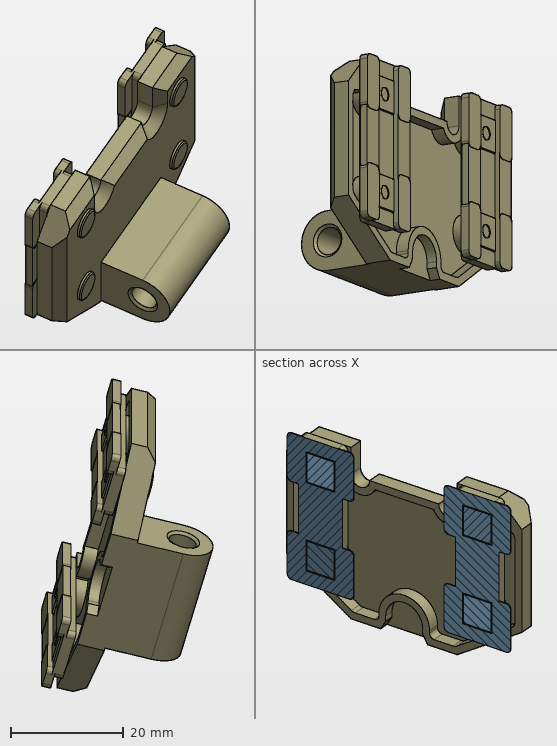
import cadquery as cq
import math


PLATE_WIDTH = 51.0
PLATE_HEIGHT = 35.0
PLATE_THICK = 5.0
HALF_WIDTH = PLATE_WIDTH / 2
TOP_CORNER = 5.0
FLANK_HEIGHT = 9.0
BOTTOM_HALF = 11.5
BACK_BEVEL = 2.0

SHOULDER_IN = 11.5
NOTCH_RADIUS = 2.0
NOTCH_Y = SHOULDER_IN - NOTCH_RADIUS
SADDLE_Z = 29.5

RAIL_Y = 17.0
RAIL_LENGTH = 30.0
RAIL_Z = PLATE_HEIGHT - RAIL_LENGTH / 2
SCREW_PITCH = 18.0
SCREW_LOW = RAIL_Z - SCREW_PITCH / 2
SCREW_HIGH = RAIL_Z + SCREW_PITCH / 2

RIM = 1.5
POCKET_DEPTH = 2.5
POCKET_FILLET = 1.5
MOUTH_FILLET = 1.0
BOSS_DIA = 7.0

MOUTH_RADIUS = 4.0
MOUTH_Z = 3.0
MOUTH_DEPTH = 2.0
MOUTH_FLARE_Z = 1.9
MOUTH_FLARE_ANGLE = 30.0
MOUTH_WALL_RADIUS = MOUTH_RADIUS + RIM

LUG_WIDTH = 22.0
LUG_RADIUS = 5.5
LUG_REACH = 8.5
BORE_DIA = 5.0
BORE_CHAMFER = 0.5

RAIL_HEIGHT = 3.18
STEM_WIDTH = 9.6
FLANGE_WIDTH = 14.5
FLANGE_THICK = 1.6
GROOVE_WIDTH = 6.4
GROOVE_DEPTH = 1.1
PAD_LENGTH = 10.0
RAIL_RADIUS = 1.0
WAIST_RELIEF = 0.1

SCREW_DIA = 3.0
HEAD_DIA = 5.5
HEAD_HEIGHT = 3.0
HEAD_CHAMFER = 0.25
HEAD_PROUD = 0.7
NUT_SIZE = 6.0
NUT_THICK = 1.8
NUT_PROUD = 0.3
NUT_RECESS_SIZE = 6.2
TIP_DIA = 2.46
TIP_DEPTH = 0.2

GROOVE_FLOOR_X = GROOVE_DEPTH - RAIL_HEIGHT
NUT_FRONT_X = GROOVE_FLOOR_X - NUT_PROUD
NUT_BACK_X = NUT_FRONT_X + NUT_THICK
HEAD_TOP_X = PLATE_THICK + HEAD_PROUD
HEAD_SEAT_X = HEAD_TOP_X - HEAD_HEIGHT

SCREW_PLACES = [(y, z) for y in (-RAIL_Y, RAIL_Y) for z in (SCREW_LOW, SCREW_HIGH)]


def yz_plane(x):
    """Sketch plane facing +X, with sketch axes along Y and Z."""
    return cq.Workplane("YZ", origin=(x, 0, 0))


def block(x_range, y_center, y_size, z_center, z_size):
    """Box that spans x_range, centred in Y and Z."""
    x_start, x_end = x_range
    return yz_plane(x_start).center(y_center, z_center).rect(y_size, z_size).extrude(x_end - x_start)


def cylinder(x_range, diameter, y, z):
    """Round bar along X that spans x_range."""
    x_start, x_end = x_range
    return yz_plane(x_start).center(y, z).circle(diameter / 2).extrude(x_end - x_start)


def both_sides(half):
    """A half shape joined with its mirror image across Y = 0."""
    return half.union(half.mirror("XZ"))


def beveled_edges():
    """Midpoints of the back-face edges that carry the bevel, on the +Y half."""
    return [
        (HALF_WIDTH, (FLANK_HEIGHT + PLATE_HEIGHT - TOP_CORNER) / 2),
        ((HALF_WIDTH - TOP_CORNER + SHOULDER_IN) / 2, PLATE_HEIGHT),
        (SHOULDER_IN, (PLATE_HEIGHT + SADDLE_Z) / 2),
        (NOTCH_Y, SADDLE_Z - NOTCH_RADIUS),
        ((NOTCH_Y - NOTCH_RADIUS) / 2, SADDLE_Z),
    ]


def plate_blank():
    """Plate outline with its back edges beveled, except the corner cuts, flanks and bottom."""
    half = (
        yz_plane(0)
        .moveTo(0, 0)
        .lineTo(BOTTOM_HALF, 0)
        .lineTo(HALF_WIDTH, FLANK_HEIGHT)
        .lineTo(HALF_WIDTH, PLATE_HEIGHT - TOP_CORNER)
        .lineTo(HALF_WIDTH - TOP_CORNER, PLATE_HEIGHT)
        .lineTo(SHOULDER_IN, PLATE_HEIGHT)
        .lineTo(SHOULDER_IN, SADDLE_Z)
        .threePointArc((NOTCH_Y, SADDLE_Z - NOTCH_RADIUS), (NOTCH_Y - NOTCH_RADIUS, SADDLE_Z))
        .lineTo(0, SADDLE_Z)
        .close()
        .extrude(PLATE_THICK)
    )
    edges = half.newObject([])
    for y, z in beveled_edges():
        edges = edges.add(half.edges(cq.NearestToPointSelector((PLATE_THICK, y, z))))
    return both_sides(edges.chamfer(BACK_BEVEL))


def pocket():
    """Hollow in the front face that leaves a rim, a mouth wall and four screw lands."""
    side = HALF_WIDTH - RIM
    flank_slope = FLANK_HEIGHT / (HALF_WIDTH - BOTTOM_HALF)
    flank_rise = RIM * math.hypot(1, flank_slope)
    side_bottom = (side - BOTTOM_HALF) * flank_slope + flank_rise
    floor_end = BOTTOM_HALF + (RIM - flank_rise) / flank_slope
    notch_wall = NOTCH_RADIUS + RIM
    saddle_end = NOTCH_Y - math.sqrt(notch_wall**2 - RIM**2)
    shoulder_start = NOTCH_Y + math.sqrt(notch_wall**2 - (SADDLE_Z - SCREW_HIGH) ** 2)
    mouth_arc_mid = MOUTH_WALL_RADIUS * math.sqrt(0.5)

    half = (
        yz_plane(0)
        .moveTo(0, SADDLE_Z - RIM)
        .lineTo(saddle_end, SADDLE_Z - RIM)
        .threePointArc((NOTCH_Y, SADDLE_Z - notch_wall), (shoulder_start, SCREW_HIGH))
        .lineTo(side, SCREW_HIGH)
        .lineTo(side, side_bottom)
        .lineTo(floor_end, RIM)
        .lineTo(MOUTH_WALL_RADIUS, RIM)
        .lineTo(MOUTH_WALL_RADIUS, MOUTH_Z)
        .threePointArc((mouth_arc_mid, MOUTH_Z + mouth_arc_mid), (0, MOUTH_Z + MOUTH_WALL_RADIUS))
        .close()
        .extrude(POCKET_DEPTH)
    )
    corners = [
        (side, SCREW_HIGH, POCKET_FILLET),
        (side, side_bottom, POCKET_FILLET),
        (floor_end, RIM, POCKET_FILLET),
        (MOUTH_WALL_RADIUS, RIM, MOUTH_FILLET),
    ]
    for y, z, radius in corners:
        corner = cq.NearestToPointSelector((POCKET_DEPTH / 2, y, z))
        half = half.edges("|X").edges(corner).fillet(radius)
    hollow = both_sides(half)
    for y, z in SCREW_PLACES:
        hollow = hollow.cut(cylinder((0, POCKET_DEPTH), BOSS_DIA, y, z))
    return hollow


def mouth():
    """Arched recess that flares out to the bottom edge."""
    flare_half = MOUTH_RADIUS + MOUTH_FLARE_Z * math.tan(math.radians(MOUTH_FLARE_ANGLE))
    return (
        yz_plane(0)
        .moveTo(-flare_half, 0)
        .lineTo(flare_half, 0)
        .lineTo(MOUTH_RADIUS, MOUTH_FLARE_Z)
        .lineTo(MOUTH_RADIUS, MOUTH_Z)
        .threePointArc((0, MOUTH_Z + MOUTH_RADIUS), (-MOUTH_RADIUS, MOUTH_Z))
        .lineTo(-MOUTH_RADIUS, MOUTH_FLARE_Z)
        .close()
        .extrude(MOUTH_DEPTH)
    )


def hinge_lug():
    """Rounded lug on the plate's back, with a bore along Y chamfered at both ends."""
    axis_x = PLATE_THICK + LUG_REACH
    lug = (
        cq.Workplane("XZ", origin=(0, LUG_WIDTH / 2, 0))
        .moveTo(PLATE_THICK, 0)
        .lineTo(axis_x, 0)
        .threePointArc((axis_x + LUG_RADIUS, LUG_RADIUS), (axis_x, 2 * LUG_RADIUS))
        .lineTo(PLATE_THICK, 2 * LUG_RADIUS)
        .close()
        .extrude(LUG_WIDTH)
    )
    bore = (
        cq.Workplane("XZ", origin=(axis_x, LUG_WIDTH / 2, LUG_RADIUS))
        .circle(BORE_DIA / 2)
        .extrude(LUG_WIDTH)
    )
    bore_rims = cq.selectors.RadiusNthSelector(0)
    return lug.cut(bore).edges("%CIRCLE").edges(bore_rims).chamfer(BORE_CHAMFER)


def make_plate():
    """Plate with its pocket, arched mouth, hinge lug and counterbored screw holes."""
    plate = plate_blank().cut(pocket()).cut(mouth()).union(hinge_lug())
    for y, z in SCREW_PLACES:
        plate = plate.cut(cylinder((0, PLATE_THICK), SCREW_DIA, y, z))
        plate = plate.cut(cylinder((HEAD_SEAT_X, PLATE_THICK), HEAD_DIA, y, z))
    return plate


def make_rail(y_center):
    """T-shaped rail with four raised pads, a centre groove and two nut recesses."""
    top_x = -RAIL_HEIGHT
    flange_back_x = top_x + FLANGE_THICK
    pad_width = (FLANGE_WIDTH - GROOVE_WIDTH) / 2
    pad_offset = (FLANGE_WIDTH - pad_width) / 2
    waist_x = (top_x + WAIST_RELIEF, flange_back_x - WAIST_RELIEF)
    waist_width = pad_width - WAIST_RELIEF
    waist_offset = (GROOVE_WIDTH + waist_width) / 2
    waist_length = RAIL_LENGTH - 2 * PAD_LENGTH + 2 * RAIL_RADIUS

    neck = block((flange_back_x, 0), y_center, STEM_WIDTH, RAIL_Z, RAIL_LENGTH)
    rail = neck.edges("|X").fillet(RAIL_RADIUS)
    groove_floor = (GROOVE_FLOOR_X, flange_back_x)
    rail = rail.union(block(groove_floor, y_center, STEM_WIDTH, RAIL_Z, RAIL_LENGTH))

    for side in (-1, 1):
        rail = rail.union(
            block(waist_x, y_center + side * waist_offset, waist_width, RAIL_Z, waist_length)
        )
        for end in (-1, 1):
            pad_y = y_center + side * pad_offset
            pad_z = RAIL_Z + end * (RAIL_LENGTH - PAD_LENGTH) / 2
            pad = block((top_x, flange_back_x), pad_y, pad_width, pad_z, PAD_LENGTH)
            rail = rail.union(pad.edges("|X").fillet(RAIL_RADIUS))

    for z in (SCREW_LOW, SCREW_HIGH):
        rail = rail.cut(block((GROOVE_FLOOR_X, NUT_BACK_X), y_center, NUT_RECESS_SIZE, z, NUT_RECESS_SIZE))
        rail = rail.cut(cylinder((NUT_BACK_X, 0), SCREW_DIA, y_center, z))
    return rail


def make_fastener(y, z):
    """Cap screw joined to its square nut."""
    head = cylinder((HEAD_SEAT_X, HEAD_TOP_X), HEAD_DIA, y, z).faces(">X").chamfer(HEAD_CHAMFER)
    shank = cylinder((NUT_BACK_X, HEAD_SEAT_X), SCREW_DIA, y, z)
    nut = block((NUT_FRONT_X, NUT_BACK_X), y, NUT_SIZE, z, NUT_SIZE)
    tip = cylinder((NUT_FRONT_X, NUT_FRONT_X + TIP_DEPTH), TIP_DIA, y, z)
    return head.union(shank).union(nut).cut(tip)


plate = make_plate()
rails = [make_rail(y) for y in (-RAIL_Y, RAIL_Y)]
fasteners = [make_fastener(y, z) for y, z in SCREW_PLACES]

bodies = [plate, *rails, *fasteners]
result = cq.Compound.makeCompound([body.solids().val() for body in bodies])